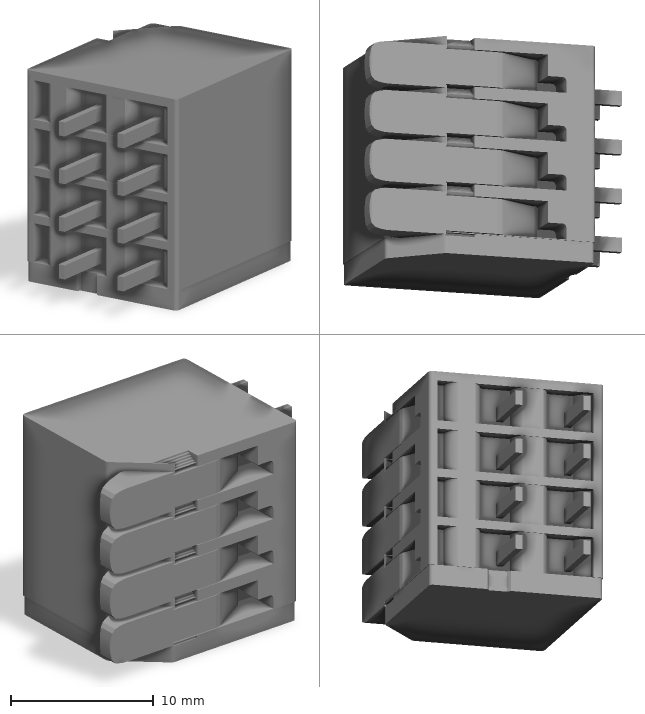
import cadquery as cq


levels = 4
pitch = 3.5

width = 12.75
depth = 14.53
height = 15.5
base_height = 1.47
base_inset = 0.06
corner_radius = 0.28
bevel_x = 3.13
bevel_y = 3.51
bevel_start_y = depth - bevel_y
bevel_corner_radius = 0.4
base_bevel_radius = 0.4

key_center_x = 5.1
key_mouth = 1.74
key_floor = 1.33
key_depth = 0.26

cell_height = 2.89
cell_bottom = base_height
chamber_depth = 1.17
narrow_window = (0.59, 2.22)
wide_window = (3.37, 11.97)
post_radius = 1.31
left_post_x = 2.68
middle_post_x = 7.55
middle_post_y = 1.1
right_post_radius = 1.0
right_post_x = 11.79
right_post_front = 0.52
left_post_ledge = 0.15
middle_post_ledge = 0.06
post_ledge_depth = 0.1

pin_width = 0.5
pin_height = 1.03
pin_length = 3.6
pin_bottom = 2.04
pin_x = (5.45, 10.41)

total_length = 20.18
lever_tip_y = total_length - pin_length
lever_height = 3.03
lever_bottom = 1.35
lever_tip_width = 1.27
lever_tip_corner = 0.16
lever_width = 2.28
lever_shoulder_y = 14.03
tip_round_start = 15.18
tip_corner_y = 16.22
tip_round_middle = (tip_round_start + tip_corner_y) / 2
tip_corner_drop = 0.18
tip_end_y = 16.47
tip_end_drop = 0.46

slot_bottom = 1.53
slot_height = 2.65
slot_top = slot_bottom + slot_height
slot_end_y = 3.51
lever_bend_y = 7.26
lever_slope_y = 6.82
lever_slope_end_y = 3.94
lever_slope_end_x = 1.8
lever_end_y = 3.63
lever_end_x = 2.12
lever_bend_x = 0.1
slot_depth = 2.42
foot_end_y = 2.15
foot_height = 1.1
foot_radius = 0.3
gap = 0.06

relief_y = 8.9
relief_undercut_x = 0.3
relief_steps = 5
relief_run = 0.18
relief_rise = 0.12
relief_nose_x = 0.15
relief_wall = 0.1
base_relief_drop = 0.2


def box(x0, x1, y0, y1, z0, z1):
    return cq.Workplane("XY").box(x1 - x0, y1 - y0, z1 - z0, centered=False).translate((x0, y0, z0))


def plan_block(inset, z0, z1):
    """Bevelled rectangle in plan with rounded corners, set in on all sides."""
    outline = [
        (inset, inset),
        (width - inset, inset),
        (width - inset, depth - inset),
        (bevel_x, depth - inset),
        (inset, bevel_start_y),
    ]
    block = cq.Workplane("XY").workplane(offset=z0).polyline(outline).close().extrude(z1 - z0)
    block = block.edges("|Z and (<Y or >X)").fillet(corner_radius)
    bevel_corner = cq.selectors.NearestToPointSelector((bevel_x, depth - inset, (z0 + z1) / 2))
    return block.edges(bevel_corner).fillet(bevel_corner_radius)


def key_groove():
    outline = [
        (key_center_x - key_mouth / 2, base_inset),
        (key_center_x + key_mouth / 2, base_inset),
        (key_center_x + key_floor / 2, base_inset + key_depth),
        (key_center_x - key_floor / 2, base_inset + key_depth),
    ]
    return cq.Workplane("XY").polyline(outline).close().extrude(base_height)


def post(x, y, radius):
    return cq.Workplane("XY").center(x, y).circle(radius).extrude(cell_height)


def post_ledge(x, ledge_width):
    """Low step along the +X foot of a post."""
    ledge_end = x + post_radius + ledge_width
    return box(x, ledge_end, chamber_depth - post_ledge_depth, chamber_depth, 0, cell_height)


def front_cell():
    """Space removed from the front of one level, standing on Z = 0."""
    narrow = box(*narrow_window, 0, chamber_depth, 0, cell_height)
    wide = box(*wide_window, 0, chamber_depth, 0, cell_height)
    shallow_front = box(*wide_window, 0, base_inset, 0, cell_height)
    right_post = post(right_post_x, right_post_front + right_post_radius, right_post_radius)
    right_corner = box(right_post_x, wide_window[1], right_post_front, chamber_depth, 0, cell_height)
    cell = narrow.union(wide)
    for solid in (
        post(left_post_x, chamber_depth, post_radius),
        post(middle_post_x, middle_post_y, post_radius),
        right_post,
        right_corner,
        post_ledge(left_post_x, left_post_ledge),
        post_ledge(middle_post_x, middle_post_ledge),
    ):
        cell = cell.cut(solid)
    return cell.union(shallow_front)


def lever_opening():
    """Recess by the sloping lever end, with foot notch and the gaps below and above the lever."""
    slope_outline = [
        (0, lever_bend_y),
        (lever_bend_x, lever_slope_y),
        (lever_slope_end_x, lever_slope_end_y),
        (lever_end_x, lever_end_y),
        (slot_depth, lever_end_y),
        (slot_depth, slot_end_y),
        (0, slot_end_y),
    ]
    recess = cq.Workplane("XY").workplane(offset=slot_bottom).polyline(slope_outline).close()
    recess = recess.extrude(slot_height)
    foot = box(0, slot_depth, foot_end_y, slot_end_y, slot_bottom, slot_bottom + foot_height)
    foot = foot.edges("|X and <Y and >Z").fillet(foot_radius)
    lower_gap = box(0, slot_depth, lever_slope_end_y, bevel_start_y, slot_bottom, slot_bottom + gap)
    upper_gap = box(0, slot_depth, lever_slope_end_y, bevel_start_y, slot_top - gap, slot_top)
    return recess.union(foot).union(lower_gap).union(upper_gap)


def stepped_relief():
    """Undercut staircase in the bar above a lever, leaving a thin wall at the bevel."""
    bar_top = slot_bottom + pitch
    x = relief_nose_x
    z = bar_top - relief_steps * relief_rise
    outline = [(0, slot_top), (relief_undercut_x, slot_top), (x, z)]
    for _ in range(relief_steps):
        x += relief_run
        outline.append((x, z))
        z += relief_rise
        outline.append((x, z))
    outline.append((0, bar_top))
    stairs = cq.Workplane("XZ").workplane(offset=-relief_y).polyline(outline).close()
    stairs = stairs.extrude(-(depth - relief_y))
    plan_outline = [
        (0, relief_y),
        (bevel_x, relief_y),
        (bevel_x, depth - relief_wall),
        (0, bevel_start_y - relief_wall),
    ]
    return stairs.intersect(cq.Workplane("XY").polyline(plan_outline).close().extrude(bar_top))


def lever():
    """Handle standing out beyond the housing bevel, with a rounded tip."""
    plan = (
        cq.Workplane("XY")
        .workplane(offset=lever_bottom)
        .moveTo(0, bevel_start_y)
        .lineTo(0, tip_corner_y)
        .threePointArc((lever_tip_corner / 4, tip_end_y), (lever_tip_corner, lever_tip_y))
        .lineTo(lever_tip_width, lever_tip_y)
        .lineTo(lever_width, lever_shoulder_y)
        .lineTo(lever_width, bevel_start_y + lever_width * bevel_y / bevel_x)
        .close()
        .extrude(lever_height)
    )
    top = lever_bottom + lever_height
    middle = lever_bottom + lever_height / 2
    side = (
        cq.Workplane("YZ")
        .moveTo(bevel_start_y, lever_bottom)
        .lineTo(tip_round_start, lever_bottom)
        .threePointArc((tip_round_middle, lever_bottom + tip_corner_drop / 4),
                       (tip_corner_y, lever_bottom + tip_corner_drop))
        .lineTo(tip_end_y, lever_bottom + tip_end_drop)
        .threePointArc((lever_tip_y, middle), (tip_end_y, top - tip_end_drop))
        .lineTo(tip_corner_y, top - tip_corner_drop)
        .threePointArc((tip_round_middle, top - tip_corner_drop / 4),
                       (tip_round_start, top))
        .lineTo(bevel_start_y, top)
        .close()
        .extrude(lever_width)
    )
    return plan.intersect(side)


def pin(x):
    return box(x - pin_width / 2, x + pin_width / 2, -pin_length, chamber_depth,
               pin_bottom, pin_bottom + pin_height)


bevel_start = cq.selectors.NearestToPointSelector((base_inset, bevel_start_y, base_height / 2))
base = plan_block(base_inset, 0, base_height)
base = base.edges(bevel_start).fillet(base_bevel_radius)
base = base.cut(key_groove())
base_relief_bottom = base_height - base_relief_drop
base = base.cut(box(0, relief_undercut_x, relief_y, bevel_start_y, base_relief_bottom, base_height))

result = plan_block(0, base_height, height).union(base)

for level in range(levels):
    lift = (0, 0, level * pitch)
    result = result.cut(front_cell().translate((0, 0, cell_bottom)).translate(lift))
    result = result.cut(lever_opening().translate(lift))
    result = result.cut(stepped_relief().translate(lift))
    result = result.union(lever().translate(lift))
    for x in pin_x:
        result = result.union(pin(x).translate(lift))